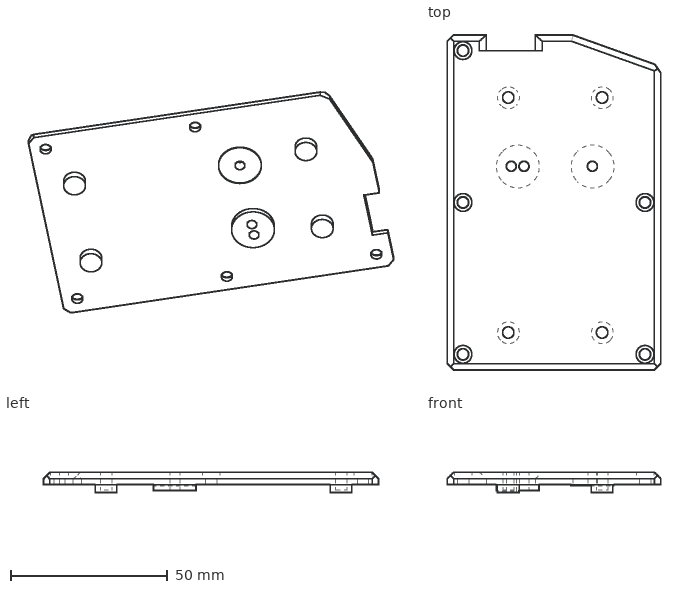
import cadquery as cq

width = 68.2
length = 107.0
total_height = 6.5
plate_thickness = 4.0
bevel = 2.0
slope_start_x = 40.0
slope_drop = 10.1

notch_left = 12.5
notch_width = 15.5
notch_depth = 5.0
notch_flare = 2.2

screw_inset = 5.0
screw_hole_diameter = 3.5
screw_head_diameter = 5.7
screw_head_depth = 2.0

peg_diameter = 7.0
peg_hole_diameter = 3.6
peg_floor = 1.0
peg_left_x = 19.5
peg_spacing_x = 30.0
peg_front_y = 12.0
peg_spacing_y = 75.0

boss_y = 65.1
sensor_hole_diameter = 3.1
pair_center_x = 22.5
pair_spacing = 4.1
pair_boss_diameter = 13.7
pair_boss_height = 1.9
single_center_x = 46.3
single_boss_diameter = 13.7
single_boss_height = 0.3

peg_height = total_height - plate_thickness


def cylinders(points, diameter, bottom, top):
    """Upright cylinders at the given points, from height bottom to height top."""
    return (
        cq.Workplane("XY", origin=(0, 0, bottom))
        .pushPoints(points)
        .circle(diameter / 2)
        .extrude(top - bottom)
    )


def beveled_plate():
    outline = [
        (0, 0),
        (width, 0),
        (width, length - slope_drop),
        (slope_start_x, length),
        (0, length),
    ]
    slab = cq.Workplane("XY").polyline(outline).close().extrude(plate_thickness)
    clipped = slab.edges("|Z").edges("<X or >X").chamfer(bevel)
    return slab.faces(">Z").chamfer(bevel).intersect(clipped)


def notch_cutter():
    notch_right = notch_left + notch_width
    bevel_base = plate_thickness - bevel
    profile = [
        (notch_left, 0),
        (notch_right, 0),
        (notch_right, bevel_base),
        (notch_right + notch_flare, plate_thickness),
        (notch_left - notch_flare, plate_thickness),
        (notch_left, bevel_base),
    ]
    return (
        cq.Workplane("XZ", origin=(0, length, 0))
        .polyline(profile)
        .close()
        .extrude(notch_depth)
    )


screw_left_x = screw_inset
screw_right_x = width - screw_inset
screw_points = [
    (screw_left_x, screw_inset),
    (screw_right_x, screw_inset),
    (screw_left_x, length / 2),
    (screw_right_x, length / 2),
    (screw_left_x, length - screw_inset),
]
peg_points = [
    (x, y)
    for x in (peg_left_x, peg_left_x + peg_spacing_x)
    for y in (peg_front_y, peg_front_y + peg_spacing_y)
]
pair_center = (pair_center_x, boss_y)
single_center = (single_center_x, boss_y)
sensor_points = [
    (pair_center_x - pair_spacing / 2, boss_y),
    (pair_center_x + pair_spacing / 2, boss_y),
    single_center,
]

result = beveled_plate().cut(notch_cutter())

boss_root = plate_thickness / 2
result = result.union(cylinders(peg_points, peg_diameter, -peg_height, boss_root))
result = result.union(cylinders([pair_center], pair_boss_diameter, -pair_boss_height, boss_root))
result = result.union(cylinders([single_center], single_boss_diameter, -single_boss_height, boss_root))

head_seat = plate_thickness - screw_head_depth
result = result.cut(cylinders(peg_points, peg_hole_diameter, peg_floor - peg_height, plate_thickness))
result = result.cut(cylinders(sensor_points, sensor_hole_diameter, -peg_height, plate_thickness))
result = result.cut(cylinders(screw_points, screw_hole_diameter, 0, plate_thickness))
result = result.cut(cylinders(screw_points, screw_head_diameter, head_seat, plate_thickness))